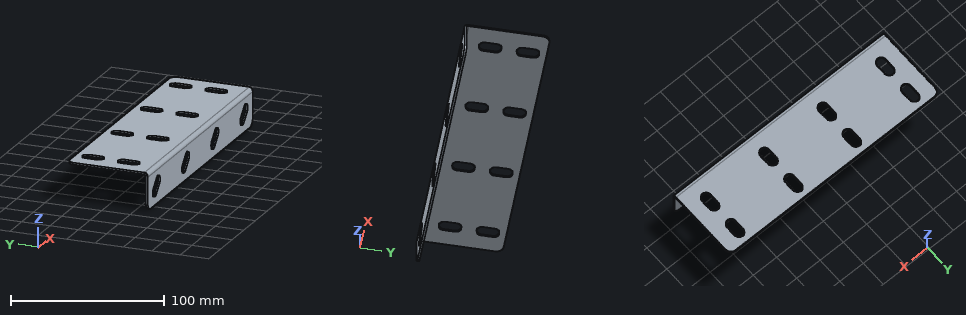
import cadquery as cq

length = 180.0
depth = 57.0
height = 26.5

thickness = 1.5
outer_bend_radius = 2.7
inner_bend_radius = outer_bend_radius - thickness
corner_radius = 5.0

slot_width = 7.0
slot_center_distance = 8.0
slot_length = slot_center_distance + slot_width
slot_count = 4
slot_pitch = 50.0
slot_edge_margin = 12.5
row_spacing = 25.0
upright_slot_angle = 90
slanted_slot_angle = 45

slot_xs = [(i - (slot_count - 1) / 2) * slot_pitch for i in range(slot_count)]


def bent_sheet():
    """L-shaped sheet section with a rounded bend, extruded along X."""
    section = (
        cq.Workplane("YZ")
        .polyline([
            (0, 0),
            (depth, 0),
            (depth, -thickness),
            (thickness, -thickness),
            (thickness, -height),
            (0, -height),
        ])
        .close()
        .extrude(length / 2, both=True)
    )
    outer_bend = cq.selectors.NearestToPointSelector((0, 0, 0))
    inner_bend = cq.selectors.NearestToPointSelector((0, thickness, -thickness))
    section = section.edges("|X").edges(outer_bend).fillet(outer_bend_radius)
    return section.edges("|X").edges(inner_bend).fillet(inner_bend_radius)


def round_free_corners(sheet):
    """Round the two outer corners of each flange."""
    sheet = sheet.faces(">Y").edges("|Z").fillet(corner_radius)
    return sheet.faces("<Z").edges("|Y").fillet(corner_radius)


def slot_cutter(plane, centers, angle):
    """Slots through one flange, cut to both sides of the given plane."""
    return (
        cq.Workplane(plane)
        .pushPoints(centers)
        .slot2D(slot_length, slot_width, angle)
        .extrude(2 * thickness, both=True)
    )


outer_row_y = depth - slot_edge_margin
top_slot_centers = [
    (x, y) for x in slot_xs for y in (outer_row_y, outer_row_y - row_spacing)
]
front_slot_centers = [(x, slot_edge_margin - height) for x in slot_xs]

result = (
    round_free_corners(bent_sheet())
    .cut(slot_cutter("XY", top_slot_centers, upright_slot_angle))
    .cut(slot_cutter("XZ", front_slot_centers, slanted_slot_angle))
)